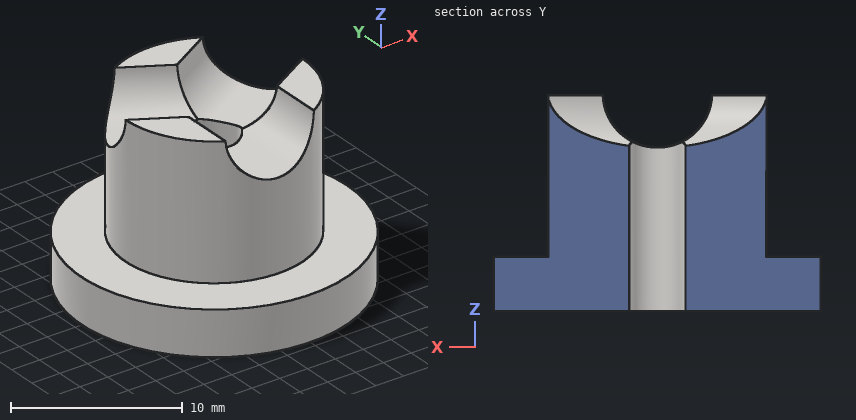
import cadquery as cq

flange_diameter = 19.05
flange_thickness = 3.175
post_diameter = 12.7
total_height = 12.573
bore_diameter = 3.26
groove_diameter = 6.35
groove_axis_height = 12.7
groove_count = 3
first_groove_angle = -90.0

groove_length = flange_diameter / 2


def make_body():
    """Round flange with a concentric post standing on it."""
    flange = cq.Workplane("XY").circle(flange_diameter / 2).extrude(flange_thickness)
    post = cq.Workplane("XY").circle(post_diameter / 2).extrude(total_height)
    return flange.union(post)


def make_bore():
    """Hole through the full height on the part axis."""
    return cq.Workplane("XY").circle(bore_diameter / 2).extrude(total_height)


def make_groove(angle):
    """Horizontal cylinder running outward from the part axis at the given angle."""
    profile = cq.Workplane("YZ").center(0, groove_axis_height).circle(groove_diameter / 2)
    cylinder = profile.extrude(groove_length)
    return cylinder.rotate((0, 0, 0), (0, 0, 1), angle)


result = make_body().cut(make_bore())
for index in range(groove_count):
    groove_angle = first_groove_angle + index * 360 / groove_count
    result = result.cut(make_groove(groove_angle))